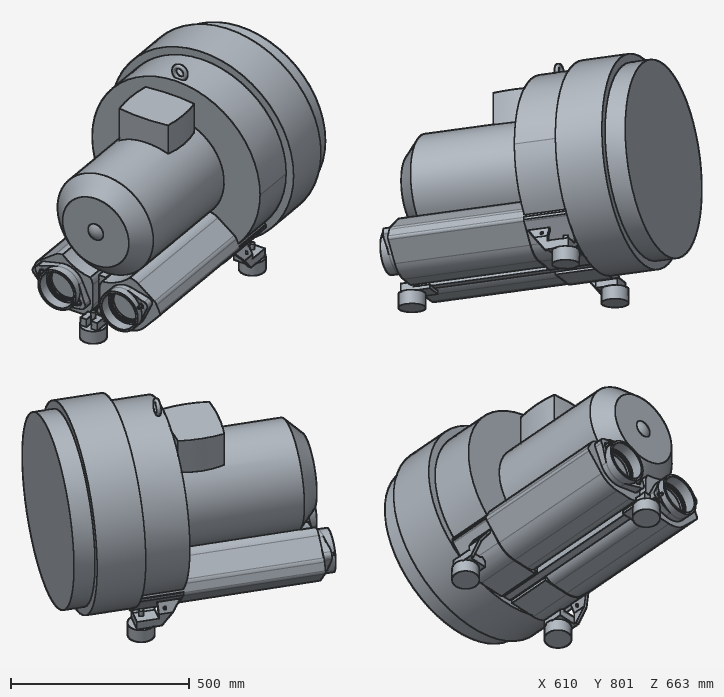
import cadquery as cq
import math


cover_radius = 281.0
cover_length = 61.0
disk_radius = 305.0
disk_length = 141.0
casing_radius = 280.0
casing_length = 134.5
disk_back = casing_length + disk_length

motor_radius = 160.0
motor_length = 364.0
cone_length = 50.0
cone_end_radius = motor_radius - cone_length
motor_end = motor_length + cone_length
cap_radius = 26.0
cap_height = 9.0

box_left = -91.0
box_right = 71.0
box_back = -16.0
box_front = -150.5
box_bow = 6.5
box_top = 238.0

eye_center_y = 20.0
eye_wire_radius = 6.5
eye_ring_radius = 19.0
eye_top = 323.0
eye_center_z = eye_top - eye_ring_radius - eye_wire_radius

pod_end = 411.0
pod_bottom = -289.0
gap_half_width = 12.0
web_recess = 32.0
web_top = -165.0
pod_corners = [
    (-126.5, -114.5, 48.0),
    (-198.5, -167.0, 24.0),
    (-214.5, -202.0, 10.5),
    (-138.0, pod_bottom, 80.0),
    (-gap_half_width, pod_bottom, 40.0),
    (-gap_half_width, -163.0, 32.0),
    (-80.0, -114.5, 48.0),
]
saddle_thickness = 2.5
saddle_top = -192.0
saddle_shoulder = -195.0
saddle_side_x = -213.0
saddle_side_bottom = -203.0
saddle_shoulder_width = 6.5
saddle_inner_x = -20.0

port_x = 103.0
port_z = -206.5
port_radius = 63.0
port_length = 42.5
port_bore_steps = [(57.0, 34.5), (51.0, 38.5), (47.0, 46.5)]
flange_ear_offset = 77.0
flange_ear_radius = 14.5
flange_ear_angle = 26.0
flange_middle_thickness = 16.0
flange_ear_thickness = 26.0
stud_radius = 3.6
stud_length = 37.0
stud_offset = 69.0
stud_recess_radius = 7.6
stud_recess_bottom = 16.0

foot_radius = 38.5
foot_bottom = -340.0
foot_top = -299.0
bolt_radius = 6.8
bolt_top = -256.0
block_top = -274.0
front_foot_y = -426.0
front_block_width = 56.0
front_block_end = -449.0
front_strip_back = -360.0
front_strip_thickness = 11.0
front_slot_width = 16.0
rear_foot_x = 180.0
rear_foot_y = 114.5

plate_thickness = 10.0
plate_outer_x = -210.0
plate_inner_x = plate_outer_x + plate_thickness
bend_z = -259.0
plate_top = -229.0
plate_lean = 17.0
block_inner_x = -146.5
wedge_outer_x = -165.0
wedge_inner_x = -158.0
wedge_top = -267.0
bracket_step_y = 70.5
bracket_toe_y = 62.5
bracket_tip_y = 5.0
bracket_hole_y = 51.0
bracket_hole_z = -246.5
bracket_hole_radius = 4.0


def cylinder_y(radius, y_front, y_back, x=0, z=0):
    """Cylinder parallel to the shaft."""
    return cq.Workplane("XZ", origin=(x, y_back, z)).circle(radius).extrude(y_back - y_front)


def cylinder_z(radius, z_bottom, z_top, x, y):
    """Upright cylinder."""
    return cq.Workplane("XY", origin=(x, y, z_bottom)).circle(radius).extrude(z_top - z_bottom)


def block(x_range, y_range, z_range):
    """Box between pairs of coordinates."""
    size = [high - low for low, high in (x_range, y_range, z_range)]
    corner = cq.Vector(x_range[0], y_range[0], z_range[0])
    return cq.Workplane("XY").box(*size, centered=False).translate(corner)


def with_mirror(body):
    """Body together with its mirror image across the X = 0 plane."""
    return body.union(body.mirror("YZ"))


def rounded_prism(corners, y_front, y_back):
    """Prism along Y with a tangent arc at each corner; the first is rounded, zero radius means sharp."""
    outline = cq.Workplane("XZ", origin=(0, y_back, 0))
    for i, (x, z, radius) in enumerate(corners):
        corner = cq.Vector(x, z)
        if radius == 0:
            outline = outline.lineTo(x, z)
            continue
        before = (cq.Vector(*corners[i - 1][:2]) - corner).normalized()
        after = (cq.Vector(*corners[(i + 1) % len(corners)][:2]) - corner).normalized()
        half_angle = before.getAngle(after) / 2
        tangent = radius / math.tan(half_angle)
        bisector = (before + after).normalized()
        start = corner + before * tangent
        middle = corner + bisector * (radius / math.sin(half_angle) - radius)
        end = corner + after * tangent
        outline = outline.moveTo(start.x, start.y) if i == 0 else outline.lineTo(start.x, start.y)
        outline = outline.threePointArc((middle.x, middle.y), (end.x, end.y))
    return outline.close().extrude(y_back - y_front)


def make_casing():
    casing = cylinder_y(casing_radius, 0, casing_length)
    disk = cylinder_y(disk_radius, casing_length, disk_back)
    cover = cylinder_y(cover_radius, disk_back, disk_back + cover_length)
    return casing.union(disk).union(cover)


def make_motor():
    """Motor body, conical fan cowl and domed cap, revolved about the shaft."""
    dome_radius = (cap_radius**2 + cap_height**2) / (2 * cap_height)
    cap_tip = motor_end + cap_height
    mid_radius = cap_radius / 2
    mid_y = cap_tip - dome_radius + math.sqrt(dome_radius**2 - mid_radius**2)
    return (
        cq.Workplane("XY")
        .moveTo(0, 0)
        .lineTo(motor_radius, 0)
        .lineTo(motor_radius, -motor_length)
        .lineTo(cone_end_radius, -motor_end)
        .lineTo(cap_radius, -motor_end)
        .threePointArc((mid_radius, -mid_y), (0, -cap_tip))
        .close()
        .revolve(360, (0, 0, 0), (0, 1, 0))
    )


def make_terminal_box():
    mid_x = (box_left + box_right) / 2
    mid_y = (box_back + box_front) / 2
    return (
        cq.Workplane("XY")
        .moveTo(box_left, box_front)
        .threePointArc((mid_x, box_front - box_bow), (box_right, box_front))
        .threePointArc((box_right + box_bow, mid_y), (box_right, box_back))
        .threePointArc((mid_x, box_back + box_bow), (box_left, box_back))
        .threePointArc((box_left - box_bow, mid_y), (box_left, box_front))
        .close()
        .extrude(box_top)
    )


def make_lifting_eye():
    ring = cq.Solid.makeTorus(
        eye_ring_radius,
        eye_wire_radius,
        cq.Vector(0, eye_center_y, eye_center_z),
        cq.Vector(0, 1, 0),
    )
    return cq.Workplane(obj=ring)


def make_silencer():
    """Two pods cleared around the fan cowl, their web and the thin saddle under the casing."""
    pods = with_mirror(rounded_prism(pod_corners, -pod_end, casing_length))
    pods = pods.cut(cylinder_y(motor_radius, -motor_end, -motor_length))
    web = block(
        (-gap_half_width, gap_half_width),
        (web_recess - pod_end, casing_length),
        (pod_bottom + saddle_thickness, web_top),
    )
    low_x, low_z, low_radius = pod_corners[3]
    saddle_corners = [
        (low_x - saddle_thickness, low_z - saddle_thickness, low_radius),
        (saddle_inner_x, low_z - saddle_thickness, 0),
        (saddle_inner_x, saddle_top, 0),
        (saddle_side_x + saddle_shoulder_width, saddle_top, 0),
        (saddle_side_x, saddle_shoulder, 0),
        (saddle_side_x, saddle_side_bottom, 0),
    ]
    saddle = with_mirror(rounded_prism(saddle_corners, 0, casing_length))
    return pods.union(web).union(saddle)


def make_flange():
    """Two-eared flange around the origin, thinner in the middle, with a recessed stud in each ear."""
    lean = math.acos((port_radius - flange_ear_radius) / flange_ear_offset)
    across, up = math.cos(lean), math.sin(lean)
    ear_tangent = (flange_ear_offset + flange_ear_radius * across, flange_ear_radius * up)
    ring_tangent = (port_radius * across, port_radius * up)
    ear_tip = flange_ear_offset + flange_ear_radius
    flange = (
        cq.Workplane("XZ")
        .moveTo(ear_tangent[0], -ear_tangent[1])
        .threePointArc((ear_tip, 0), ear_tangent)
        .lineTo(*ring_tangent)
        .threePointArc((0, port_radius), (-ring_tangent[0], ring_tangent[1]))
        .lineTo(-ear_tangent[0], ear_tangent[1])
        .threePointArc((-ear_tip, 0), (-ear_tangent[0], -ear_tangent[1]))
        .lineTo(-ring_tangent[0], -ring_tangent[1])
        .threePointArc((0, -port_radius), (ring_tangent[0], -ring_tangent[1]))
        .close()
        .extrude(flange_ear_thickness)
    )
    hollow = (
        cq.Workplane("XY")
        .moveTo(-flange_ear_offset, -flange_ear_thickness)
        .threePointArc((0, -flange_middle_thickness), (flange_ear_offset, -flange_ear_thickness))
        .close()
        .extrude(port_radius + flange_ear_radius, both=True)
    )
    flange = flange.cut(hollow)
    for side in (-1, 1):
        stud_x = side * stud_offset
        flange = flange.cut(cylinder_y(stud_recess_radius, -stud_length, -stud_recess_bottom, stud_x))
        flange = flange.union(cylinder_y(stud_radius, -stud_length, 0, stud_x))
    return flange


def make_left_port():
    """Flange and pipe socket, standing on the end of the left pod."""
    socket = make_flange().union(cylinder_y(port_radius, -port_length, 0))
    socket = socket.rotate((0, 0, 0), (0, 1, 0), flange_ear_angle)
    return socket.translate((-port_x, -pod_end, port_z))


def make_left_port_bore():
    """Stepped blind bore of the left port."""
    mouth = -pod_end - port_length
    bore = cq.Workplane("XZ")
    for radius, depth in port_bore_steps:
        bore = bore.union(cylinder_y(radius, mouth, mouth + depth, -port_x, port_z))
    return bore


def make_foot(x, y):
    """Round pad with its bolt."""
    pad = cylinder_z(foot_radius, foot_bottom, foot_top, x, y)
    return pad.union(cylinder_z(bolt_radius, foot_top, bolt_top, x, y))


def make_front_support():
    """Block on the pod ends, slotted around the bolt, with a strip running under the pods."""
    half_width = front_block_width / 2
    half_slot = front_slot_width / 2
    body = block((-half_width, half_width), (front_block_end, -pod_end), (foot_top, block_top))
    strip = block(
        (-half_width, half_width),
        (-pod_end, front_strip_back),
        (foot_top, foot_top + front_strip_thickness),
    )
    slot = block((-half_slot, half_slot), (front_block_end, front_foot_y), (foot_top, block_top))
    return body.cut(slot).union(strip).union(make_foot(0, front_foot_y))


def make_left_bracket():
    """Bent side plate, base block and foot of the left rear support."""
    plate = (
        cq.Workplane("XZ", origin=(0, casing_length, 0))
        .moveTo(plate_outer_x, foot_top)
        .lineTo(plate_outer_x, bend_z)
        .lineTo(plate_outer_x + plate_lean, plate_top)
        .lineTo(plate_inner_x + plate_lean, plate_top)
        .lineTo(plate_inner_x, bend_z)
        .lineTo(plate_inner_x, foot_top)
        .close()
        .extrude(casing_length)
    )
    side_profile = (
        cq.Workplane("YZ", origin=(plate_outer_x, 0, 0))
        .moveTo(casing_length, foot_top)
        .lineTo(bracket_toe_y, foot_top)
        .lineTo(bracket_tip_y, plate_top)
        .lineTo(bracket_step_y, plate_top)
        .lineTo(bracket_step_y, block_top)
        .lineTo(casing_length, block_top)
        .close()
        .extrude(plate_thickness + plate_lean)
    )
    hole = (
        cq.Workplane("YZ", origin=(plate_outer_x, bracket_hole_y, bracket_hole_z))
        .circle(bracket_hole_radius)
        .extrude(plate_thickness + plate_lean)
    )
    base = (
        cq.Workplane("XZ", origin=(0, casing_length, 0))
        .moveTo(plate_inner_x, foot_top)
        .lineTo(plate_inner_x, block_top)
        .lineTo(wedge_outer_x, block_top)
        .lineTo(wedge_inner_x, wedge_top)
        .lineTo(block_inner_x, wedge_top)
        .lineTo(block_inner_x, foot_top)
        .close()
        .extrude(casing_length - bracket_step_y)
    )
    bracket = plate.intersect(side_profile).cut(hole).union(base)
    return bracket.union(make_foot(-rear_foot_x, rear_foot_y))


result = (
    make_casing()
    .union(make_motor())
    .union(make_terminal_box())
    .union(make_lifting_eye())
    .union(make_silencer())
    .union(with_mirror(make_left_port()))
    .cut(with_mirror(make_left_port_bore()))
    .union(make_front_support())
    .union(with_mirror(make_left_bracket()))
    .solids()
)